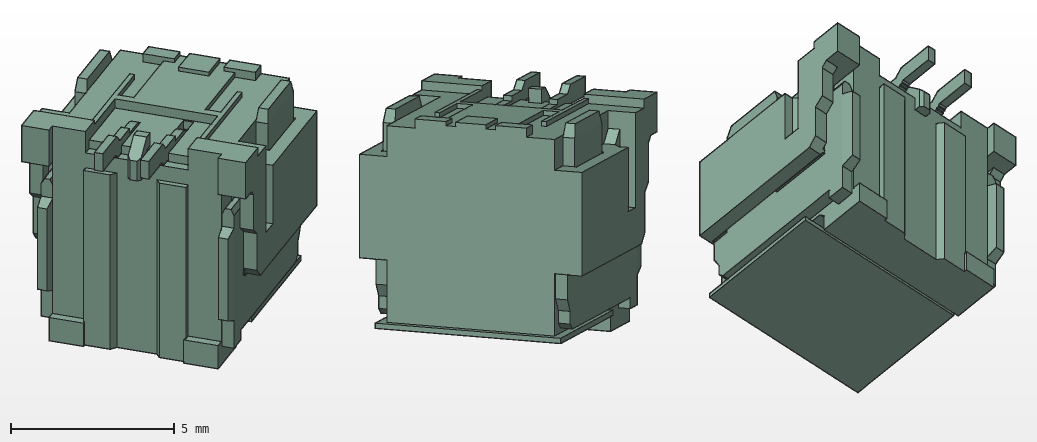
import cadquery as cq
import math


overall_width = 7.3
wing_x = overall_width / 2
body_x = 2.755
body_back = 6.33
body_front = 0.29
deck_z = 6.95
lug_top = 7.23
lug_depth = 1.09
floor_z = 0.8
foot_depth = 1.63
foot_bevel = 0.18
ledge_z = 5.99

panel_z = 7.1
strip_outer_x = 1.83
pocket_x = 1.67
panel_x = 1.16
strip_back = 4.655
pocket_back = 2.91
bridge_back = 3.19
pad_front = 5.82
pad_inner_x = 0.81
key_x = 0.495
key_front = 5.34

pocket_z = 6.79
sill_z = 6.5
sill_back = 0.61
groove_x = (0.59, 0.915)
groove_back = 2.84

pin_pitch = 1.495
pin_width = 0.275
pin_front = -1.06
pin_top = 7.3
pin_bottom = 6.69
pin_chin_y = (0.09, 0.15)
pin_chin_z = 6.65
pin_heel_y = 0.23
pin_heel_z = (6.6, 6.54)
pin_slope_y = (0.18, 0.44)
pin_middle_z = 7.04
pin_step_y = 1.3
pin_tail_z = 6.88
pin_bend_y = 1.88
pin_bend_radius = 0.83

peg_x = 0.21
peg_back = 0.89
peg_crest_y = 0.59
peg_nose_z = 6.66
peg_bevel = 0.1

rib_front = 0.1
rib_inner_x = 0.81
rib_slope_x = 0.16
foot_inner_x = 1.63

wing_bottom = 2.75
wing_shoulder_y = 1.815
wing_waist_y = 1.02
wing_waist_z = (3.05, 4.31)
wing_neck_y = 0.71
wing_neck_z = (4.58, 5.8)
wing_bevel_y = (1.3, 0.52)
wing_inner_x = 3.205
recess_back = 1.175
liner_bottom = 2.72
notch_y = 2.42
notch_bottom = 3.98
notch_bevel_y = 2.21
notch_edge_x = (3.34, 3.135)
gusset_y = 2.2
gusset_top = 6.395

clip_x = 3.14
clip_front = 0.35
clip_back = 6.24
clip_back_slope_z = (1.945, 1.54)
clip_heel_y = 6.02
clip_bottom = 0.95
clip_heel_bevel = 0.19
clip_toe_back = 0.96
clip_toe_bottom = 0.61
clip_tip_z = 5.36
clip_tip_bevel = (0.1, 0.19)
clip_edge_taper = 0.04
tab_y = (3.35, 5.64)
tab_taper_y = 0.145
tab_top = 7.3
tab_shoulder_z = 6.88
blade_tip_y = -0.07
blade_z = (1.56, 4.73)
blade_taper_z = 0.18

plate_x = 3.045
plate_y = (2.17, 6.57)
plate_thickness = 0.17


def box(x_range, y_range, z_range):
    """Block between the given limits."""
    size = [high - low for low, high in (x_range, y_range, z_range)]
    low_corner = (x_range[0], y_range[0], z_range[0])
    return cq.Workplane("XY").box(*size, centered=False).translate(low_corner)


def side_prism(points, x_range):
    """(Y, Z) outline extruded along X."""
    prism = cq.Workplane("YZ").polyline(points).close().extrude(x_range[1] - x_range[0])
    return prism.translate((x_range[0], 0, 0))


def plan_prism(points, z_range):
    """(X, Y) outline extruded along Z."""
    prism = cq.Workplane("XY").polyline(points).close().extrude(z_range[1] - z_range[0])
    return prism.translate((0, 0, z_range[0]))


def both_sides(shape):
    """The shape together with its mirror image across X = 0."""
    return shape.union(shape.mirror("YZ"))


def make_body():
    outline = [
        (body_front, 0),
        (foot_depth, 0),
        (foot_depth, floor_z - foot_bevel),
        (foot_depth + foot_bevel, floor_z),
        (body_back, floor_z),
        (body_back, deck_z),
        (lug_depth, deck_z),
        (lug_depth, lug_top),
        (body_front, lug_top),
    ]
    body = side_prism(outline, (-body_x, body_x))
    feet = both_sides(box((foot_inner_x, body_x), (0, body_front), (0, floor_z)))
    plate = box((-plate_x, plate_x), plate_y, (floor_z - plate_thickness, floor_z))
    return body.union(feet).union(plate)


def make_ribs():
    outline = [
        (pocket_x, body_front),
        (pocket_x, rib_front),
        (rib_inner_x, rib_front),
        (rib_inner_x - rib_slope_x, body_front),
    ]
    return both_sides(plan_prism(outline, (0, ledge_z)))


def make_deck_panels():
    height = (deck_z, panel_z)
    center = box((-panel_x, panel_x), (pocket_back, body_back), height)
    bridge = box((-pocket_x, pocket_x), (pocket_back, bridge_back), height)
    strips = both_sides(box((pocket_x, strip_outer_x), (lug_depth, strip_back), height))
    pads = both_sides(box((pad_inner_x, strip_outer_x), (pad_front, body_back), (deck_z, lug_top)))
    key = box((-key_x, key_x), (key_front, body_back), (deck_z, lug_top))
    return center.union(bridge).union(strips).union(pads).union(key)


def make_pocket():
    main = box((-pocket_x, pocket_x), (body_front, pocket_back), (pocket_z, lug_top))
    sill = box((-pocket_x, pocket_x), (body_front, sill_back), (sill_z, lug_top))
    groove = box(groove_x, (sill_back, groove_back), (sill_z, pocket_z))
    return main.union(sill).union(groove)


def make_pin(center_x, root_z):
    """Contact pin whose tail bends down until it meets the surface at root_z."""
    bend_center_z = pin_tail_z - pin_bend_radius
    end_angle = math.asin((root_z - bend_center_z) / pin_bend_radius)
    middle_angle = (end_angle + math.pi / 2) / 2

    def on_bend(angle):
        return (
            pin_bend_y + pin_bend_radius * math.cos(angle),
            bend_center_z + pin_bend_radius * math.sin(angle),
        )

    pin = (
        cq.Workplane("YZ")
        .moveTo(pin_front, pin_bottom)
        .lineTo(pin_front, pin_top)
        .lineTo(pin_slope_y[0], pin_top)
        .lineTo(pin_slope_y[1], pin_middle_z)
        .lineTo(pin_step_y, pin_middle_z)
        .lineTo(pin_step_y, pin_tail_z)
        .lineTo(pin_bend_y, pin_tail_z)
        .threePointArc(on_bend(middle_angle), on_bend(end_angle))
        .lineTo(sill_back, sill_z)
        .lineTo(sill_back, pin_heel_z[1])
        .lineTo(pin_heel_y, pin_heel_z[1])
        .lineTo(pin_heel_y, pin_heel_z[0])
        .lineTo(pin_chin_y[1], pin_heel_z[0])
        .lineTo(pin_chin_y[1], pin_chin_z)
        .lineTo(pin_chin_y[0], pin_bottom)
        .close()
        .extrude(pin_width)
    )
    return pin.translate((center_x - pin_width / 2, 0, 0))


def make_peg():
    outline = [
        (0, ledge_z),
        (0, peg_nose_z),
        (peg_crest_y, lug_top),
        (peg_back, lug_top),
        (peg_back, ledge_z),
    ]
    plan = [
        (-peg_x, peg_back),
        (-peg_x, peg_bevel),
        (peg_bevel - peg_x, 0),
        (peg_x - peg_bevel, 0),
        (peg_x, peg_bevel),
        (peg_x, peg_back),
    ]
    return side_prism(outline, (-peg_x, peg_x)).intersect(plan_prism(plan, (ledge_z, lug_top)))


def make_wing():
    outline = [
        (body_back, wing_bottom),
        (wing_bevel_y[0], wing_bottom),
        (wing_waist_y, wing_waist_z[0]),
        (wing_waist_y, wing_waist_z[1]),
        (wing_neck_y, wing_neck_z[0]),
        (wing_neck_y, wing_neck_z[1]),
        (wing_bevel_y[1], ledge_z),
        (0, ledge_z),
        (0, lug_top),
        (lug_depth, lug_top),
        (lug_depth, deck_z),
        (wing_shoulder_y, deck_z),
        (wing_shoulder_y, ledge_z),
        (body_back, ledge_z),
    ]
    wing = side_prism(outline, (body_x, wing_x))
    recess = box((body_x, wing_inner_x), (0, recess_back), (wing_bottom, ledge_z))
    liner = box((body_x, wing_inner_x), (recess_back, clip_back), (liner_bottom, wing_bottom))
    slit = box((body_x, wing_inner_x), tab_y, (liner_bottom, ledge_z))
    notch_plan = [
        (wing_x, wing_shoulder_y),
        (wing_x, notch_y),
        (notch_edge_x[0], notch_y),
        (notch_edge_x[1], notch_bevel_y),
        (notch_edge_x[1], wing_shoulder_y),
    ]
    notch = plan_prism(notch_plan, (notch_bottom, ledge_z))
    gusset_outline = [
        (wing_shoulder_y, ledge_z),
        (gusset_y, ledge_z),
        (wing_shoulder_y, gusset_top),
    ]
    gusset = side_prism(gusset_outline, (body_x, notch_edge_x[1]))
    return wing.cut(recess).union(liner).cut(slit).cut(notch).union(gusset)


def make_clip_sheet():
    outline = [
        (clip_front, clip_toe_bottom),
        (clip_front, clip_tip_z),
        (recess_back, clip_tip_z),
        (recess_back, wing_bottom),
        (clip_back, wing_bottom),
        (clip_back, clip_back_slope_z[0]),
        (clip_heel_y, clip_back_slope_z[1]),
        (clip_heel_y, clip_bottom + clip_heel_bevel),
        (clip_heel_y - clip_heel_bevel, clip_bottom),
        (clip_toe_back, clip_bottom),
        (clip_toe_back, clip_toe_bottom),
    ]
    sheet = side_prism(outline, (body_x, clip_x))
    bevel_x, bevel_z = clip_tip_bevel
    corner = (
        cq.Workplane("XZ")
        .moveTo(clip_x, clip_tip_z - bevel_z)
        .lineTo(clip_x, clip_tip_z)
        .lineTo(clip_x - bevel_x, clip_tip_z)
        .close()
        .extrude(-recess_back)
    )
    middle_x = (body_x + clip_x) / 2
    opposite = corner.mirror("YZ", (middle_x, 0, 0))
    return sheet.cut(corner).cut(opposite)


def make_clip_tab():
    front, back = tab_y
    outline = [
        (front, wing_bottom),
        (front, tab_shoulder_z),
        (front + tab_taper_y, tab_top),
        (back - tab_taper_y, tab_top),
        (back, tab_shoulder_z),
        (back, wing_bottom),
    ]
    section = [
        (body_x, wing_bottom),
        (body_x, tab_shoulder_z),
        (body_x + clip_edge_taper, tab_top),
        (clip_x - clip_edge_taper, tab_top),
        (clip_x, tab_shoulder_z),
        (clip_x, wing_bottom),
    ]
    taper = cq.Workplane("XZ").polyline(section).close().extrude(-body_back)
    return side_prism(outline, (body_x, clip_x)).intersect(taper)


def make_clip_blade():
    bottom, top = blade_z
    outline = [
        (clip_front, bottom),
        (blade_tip_y, bottom + blade_taper_z),
        (blade_tip_y, top - blade_taper_z),
        (clip_front, top),
    ]
    plan = [
        (body_x, clip_front),
        (body_x + clip_edge_taper, blade_tip_y),
        (clip_x - clip_edge_taper, blade_tip_y),
        (clip_x, clip_front),
    ]
    return side_prism(outline, (body_x, clip_x)).intersect(plan_prism(plan, blade_z))


side_parts = make_wing().union(make_clip_sheet()).union(make_clip_tab()).union(make_clip_blade())

result = (
    make_body()
    .union(make_ribs())
    .union(make_deck_panels())
    .cut(make_pocket())
    .union(make_pin(-pin_pitch / 2, pocket_z))
    .union(make_pin(pin_pitch / 2, sill_z))
    .union(make_peg())
    .union(both_sides(side_parts))
)